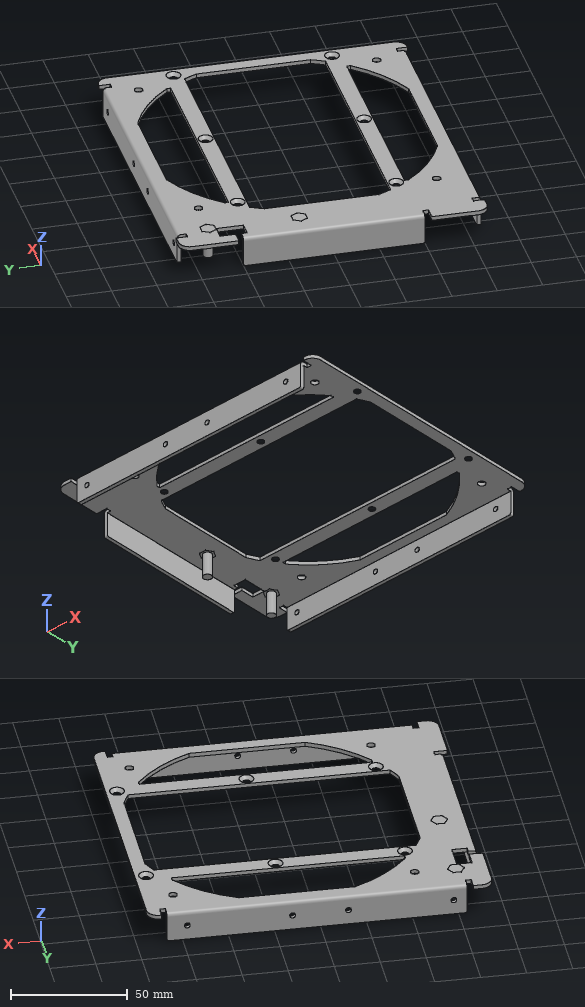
import cadquery as cq
import math

PLATE_LENGTH = 150.0
PLATE_WIDTH = 136.0
SHEET = 2.0
TRAY_HEIGHT = 14.0
PLATE_CORNER_RADIUS = 5.0
FLANGE_INSET = 0.98
FLANGE_CORNER_RADIUS = 0.9

LEFT = -PLATE_LENGTH / 2
HALF_WIDTH = PLATE_WIDTH / 2

LONG_FLANGE_LENGTH = 130.5
LONG_FLANGE_X = 1.5
LONG_FLANGE_Y = HALF_WIDTH - FLANGE_INSET
FLANGE_HOLE_DIAMETER = 2.4
FLANGE_HOLE_DROP = 7.0
FLANGE_HOLE_OFFSETS = (12.2, 57.9)

END_FLANGE_LENGTH = 80.1
END_FLANGE_INSET = 2.1
END_FLANGE_X = LEFT + END_FLANGE_INSET

RELIEF_WIDTH = 2.4
LONG_RELIEF_DEPTH = 5.0
END_RELIEF_DEPTH = 6.0
TAB_CORNER_RADIUS = 0.8

SIDE_WINDOW_LENGTH = 6.6
SIDE_WINDOW_WIDTH = 11.8
SIDE_WINDOW_BOTTOM = 37.5

FAN_X = 9.0
FAN_RADIUS = 64.8
FAN_SQUARE = 119.4
FAN_HOLE_SPACING = 105.0
FAN_HOLE_DIAMETER = 3.6
BAR_Y = 35.0
BAR_WIDTH = 7.8
OUTER_OPENING_LENGTH = 101.2

SCREW_FIRST_X = -42.5
SCREW_PITCH = 56.2
SCREW_COUNT = 3
SCREW_DIAMETER = 3.2
SCREW_HEAD_DIAMETER = 6.3
SCREW_HEAD_ANGLE = 90.0

STANDOFF_X = -61.4
STANDOFF_YS = (12.6, 52.8)
STANDOFF_HEX_FLATS = 6.3
STANDOFF_HEX_CORNERS = STANDOFF_HEX_FLATS / math.cos(math.pi / 6)
STANDOFF_DIAMETER = 4.4
STANDOFF_HEIGHT = 13.4


def block(x_min, x_max, y_min, y_max, z_min, z_max):
    """Box given by its limits."""
    return cq.Workplane("XY").box(
        x_max - x_min, y_max - y_min, z_max - z_min, centered=False
    ).translate((x_min, y_min, z_min))


def through_block(x_min, x_max, y_min, y_max):
    """Box through the thickness of the plate."""
    return block(x_min, x_max, y_min, y_max, -SHEET, 0)


def make_plate():
    """Flat plate, top at Z = 0, with its edges cut back where the flanges fold."""
    plate = through_block(LEFT, -LEFT, -HALF_WIDTH, HALF_WIDTH)
    plate = plate.edges("|Z").fillet(PLATE_CORNER_RADIUS)

    long_cut_half = LONG_FLANGE_LENGTH / 2 + RELIEF_WIDTH
    for side in (-1, 1):
        y_limits = sorted((side * HALF_WIDTH, side * (HALF_WIDTH - LONG_RELIEF_DEPTH)))
        plate = plate.cut(through_block(
            LONG_FLANGE_X - long_cut_half, LONG_FLANGE_X + long_cut_half, *y_limits))

    end_cut_half = END_FLANGE_LENGTH / 2 + RELIEF_WIDTH
    plate = plate.cut(through_block(
        LEFT, LEFT + END_RELIEF_DEPTH, -end_cut_half, end_cut_half))
    tab_corners = cq.selectors.BoxSelector(
        (LEFT - SHEET, -end_cut_half - SHEET, -2 * SHEET),
        (LEFT + SHEET, end_cut_half + SHEET, SHEET))
    return plate.edges("|Z").edges(tab_corners).fillet(TAB_CORNER_RADIUS)


def make_flange(length, depth):
    """Folded flange along X: outer face on Y = 0, plate strip reaching to Y = depth."""
    strip = block(-length / 2, length / 2, 0, depth, -SHEET, 0)
    wall = block(-length / 2, length / 2, 0, SHEET, -TRAY_HEIGHT, 0)
    wall = wall.edges("|Y and <Z").fillet(FLANGE_CORNER_RADIUS)
    bend_blank = block(-length / 2, length / 2, 0, SHEET, -SHEET, 0)
    bend_round = (
        cq.Workplane("YZ").center(SHEET, -SHEET).circle(SHEET).extrude(length / 2, both=True)
    )
    outside_bend = bend_blank.cut(bend_round)
    return strip.union(wall).cut(outside_bend)


def make_long_flange():
    """Flange on the -Y side with its row of holes."""
    flange = make_flange(LONG_FLANGE_LENGTH, LONG_RELIEF_DEPTH - FLANGE_INSET)
    flange = flange.translate((LONG_FLANGE_X, -LONG_FLANGE_Y, 0))
    hole_points = [(side * x, -FLANGE_HOLE_DROP) for x in FLANGE_HOLE_OFFSETS for side in (-1, 1)]
    holes = (
        cq.Workplane("XZ", origin=(0, -LONG_FLANGE_Y, 0))
        .pushPoints(hole_points)
        .circle(FLANGE_HOLE_DIAMETER / 2)
        .extrude(-SHEET)
    )
    return flange.cut(holes)


def make_end_flange():
    """Flange on the -X side."""
    flange = make_flange(END_FLANGE_LENGTH, END_RELIEF_DEPTH - END_FLANGE_INSET)
    return flange.rotate((0, 0, 0), (0, 0, 1), -90).translate((END_FLANGE_X, 0, 0))


def make_fan_opening():
    """Cutter for the three openings that the two bars leave of the fan circle."""
    disc = cq.Workplane("XY").center(FAN_X, 0).circle(FAN_RADIUS).extrude(-SHEET)
    half = FAN_SQUARE / 2
    bar_inner = BAR_Y - BAR_WIDTH / 2
    bar_outer = BAR_Y + BAR_WIDTH / 2
    outer_left = FAN_X - OUTER_OPENING_LENGTH / 2
    outer_right = FAN_X + OUTER_OPENING_LENGTH / 2
    windows = through_block(FAN_X - half, FAN_X + half, -bar_inner, bar_inner)
    windows = windows.union(through_block(outer_left, outer_right, bar_outer, half))
    windows = windows.union(through_block(outer_left, outer_right, -half, -bar_outer))
    return disc.intersect(windows)


def make_side_window():
    """Cutter for the rectangular window behind the end relief."""
    x_min = LEFT + END_RELIEF_DEPTH
    return through_block(x_min, x_min + SIDE_WINDOW_LENGTH,
                         SIDE_WINDOW_BOTTOM, SIDE_WINDOW_BOTTOM + SIDE_WINDOW_WIDTH)


def add_plate_holes(tray):
    """Fan mounting holes and countersunk screw holes."""
    fan_holes = (
        cq.Workplane("XY")
        .center(FAN_X, 0)
        .rect(FAN_HOLE_SPACING, FAN_HOLE_SPACING, forConstruction=True)
        .vertices()
        .circle(FAN_HOLE_DIAMETER / 2)
        .extrude(-SHEET)
    )
    screw_points = [
        (SCREW_FIRST_X + i * SCREW_PITCH, y) for i in range(SCREW_COUNT) for y in (-BAR_Y, BAR_Y)
    ]
    return (
        tray.cut(fan_holes)
        .copyWorkplane(cq.Workplane("XY"))
        .pushPoints(screw_points)
        .cskHole(SCREW_DIAMETER, SCREW_HEAD_DIAMETER, SCREW_HEAD_ANGLE)
    )


def make_hex_head(y):
    """Hexagonal standoff head, corners pointing along X, as thick as the plate."""
    return (
        cq.Workplane("XY")
        .center(STANDOFF_X, y)
        .polygon(6, STANDOFF_HEX_CORNERS)
        .extrude(-SHEET)
    )


def make_tray():
    """Complete sheet metal body."""
    long_flange = make_long_flange()
    tray = make_plate().union(long_flange).union(long_flange.mirror("XZ")).union(make_end_flange())
    tray = tray.cut(make_fan_opening()).cut(make_side_window())
    tray = add_plate_holes(tray)
    for y in STANDOFF_YS:
        tray = tray.cut(make_hex_head(y))
    return tray


def make_standoff(y):
    """Standoff with its head in the plate and its barrel reaching down."""
    barrel = (
        cq.Workplane("XY")
        .center(STANDOFF_X, y)
        .circle(STANDOFF_DIAMETER / 2)
        .extrude(-STANDOFF_HEIGHT)
    )
    return make_hex_head(y).union(barrel)


tray = make_tray()
standoffs = [make_standoff(y) for y in STANDOFF_YS]
result = cq.Compound.makeCompound([tray.val(), *[standoff.val() for standoff in standoffs]])